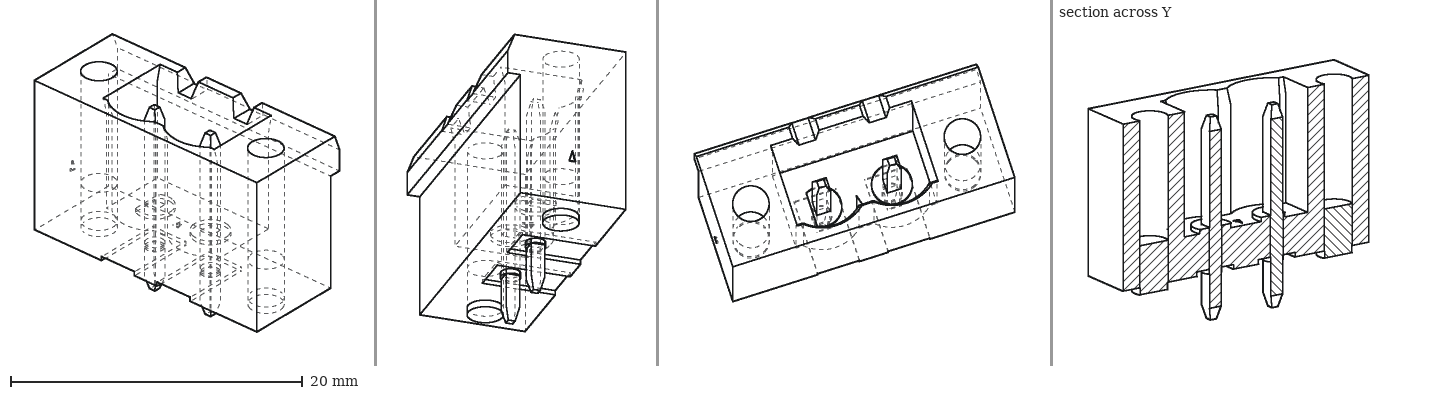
import cadquery as cq
import math

length = 20.32
body_depth = 7.68
height = 12.0

rail_back_y = 8.6
rail_height = 3.0
rail_slope_depth = 0.49
rail_slope_height = 1.3

pitch = 5.08
axis_y = 3.82
pin_xs = [-pitch / 2, pitch / 2]
peg_xs = [-1.5 * pitch, 1.5 * pitch]

pin_width = 1.0
pin_tip_width = pin_width / 2
pin_taper_length = 1.0
pin_bottom_z = -3.4
pin_top_z = 11.18

peg_diameter = 2.5
peg_bottom_z = -0.5

floor_z = 3.05
peg_top_z = floor_z
cavity_width = 10.14
cavity_front_y = 1.67
cavity_back_y = 6.97
lobe_radius = 2.95
flare = 0.3
flare_height = 1.22
flare_z = height - flare_height

notch_floor_width = 1.18
notch_top_width = 1.9
notch_depth = 1.36

collar_diameter = 2.8
collar_height = 0.3
collar_flat_offset = 0.7

slot_width = 3.0
slot_height = 0.33
slot_back_y = axis_y + slot_width / 2
stub_diameter = 1.4

mark_width = 0.45
mark_length = 0.77
mark_depth = 0.1
mark_y = 3.88
floor_mark_base_y = 3.09
side_mark_base_z = 3.05


def cylinder(x, diameter, bottom_z, top_z):
    """Upright cylinder on the pin line."""
    disc = cq.Workplane("XY", origin=(x, axis_y, bottom_z)).circle(diameter / 2)
    return disc.extrude(top_z - bottom_z)


def block(width, front_y, back_y, bottom_z, top_z, x=0.0):
    """Box centred on x, between the given Y and Z limits."""
    box = cq.Workplane("XY").box(width, back_y - front_y, top_z - bottom_z, centered=(True, False, False))
    return box.translate((x, front_y, bottom_z))


def make_block_with_rail():
    """Main block with the overhanging rail, as one profile run along X."""
    profile = [
        (0, 0),
        (body_depth, 0),
        (body_depth, height - rail_height),
        (rail_back_y, height - rail_height),
        (rail_back_y, height - rail_slope_height),
        (rail_back_y - rail_slope_depth, height),
        (0, height),
    ]
    return cq.Workplane("YZ").polyline(profile).close().extrude(length / 2, both=True)


def make_cavity():
    """Rectangular cavity with two round lobes at the front and a flared mouth."""
    profile = [
        (cavity_front_y, floor_z),
        (cavity_back_y, floor_z),
        (cavity_back_y, flare_z),
        (cavity_back_y + flare, height),
        (cavity_front_y - flare, height),
        (cavity_front_y, flare_z),
    ]
    cavity = cq.Workplane("YZ").polyline(profile).close().extrude(cavity_width / 2, both=True)
    lobe_limit = block(cavity_width, 0, axis_y, floor_z, height)
    for x in pin_xs:
        lobe = cylinder(x, 2 * lobe_radius, floor_z, flare_z)
        mouth = (
            cq.Workplane("XY", origin=(x, axis_y, flare_z))
            .circle(lobe_radius)
            .workplane(offset=flare_height)
            .circle(lobe_radius + flare)
            .loft(ruled=True)
        )
        cavity = cavity.union(lobe.union(mouth).intersect(lobe_limit))
    return cavity


def make_notch(x):
    """Trapezoidal notch from the cavity through the back wall."""
    profile = [
        (x - notch_floor_width / 2, height - notch_depth),
        (x + notch_floor_width / 2, height - notch_depth),
        (x + notch_top_width / 2, height),
        (x - notch_top_width / 2, height),
    ]
    notch = cq.Workplane("XZ", origin=(0, rail_back_y, 0)).polyline(profile).close()
    return notch.extrude(rail_back_y - axis_y)


def make_slot(x):
    """Underside slot, open at the front, that leaves a round stub around the pin."""
    slot = block(slot_width, 0, slot_back_y, 0, slot_height, x)
    return slot.cut(cylinder(x, stub_diameter, 0, slot_height))


def make_collars():
    """Round collars around the pins; a flat on the first marks pin one."""
    first_x, second_x = pin_xs
    top_z = floor_z + collar_height
    first = cylinder(first_x, collar_diameter, floor_z, top_z)
    kept_centre_x = first_x - collar_flat_offset + collar_diameter / 2
    front_y = axis_y - collar_diameter / 2
    kept = block(collar_diameter, front_y, front_y + collar_diameter, floor_z, top_z, kept_centre_x)
    return [first.intersect(kept), cylinder(second_x, collar_diameter, floor_z, top_z)]


def make_mark(plane, centre, base):
    """Triangular recess, cut to mark_depth on both sides of its plane."""
    corners = [
        (centre - mark_width / 2, base),
        (centre + mark_width / 2, base),
        (centre, base + mark_length),
    ]
    return cq.Workplane(plane).polyline(corners).close().extrude(mark_depth, both=True)


def make_pin(x):
    """Square pin with a tapered tip at each end."""
    shank_bottom_z = pin_bottom_z + pin_taper_length
    shank_top_z = pin_top_z - pin_taper_length
    shank = cq.Workplane("XY", origin=(x, axis_y, shank_bottom_z)).rect(pin_width, pin_width)
    shank = shank.extrude(shank_top_z - shank_bottom_z)
    taper_angle = math.degrees(math.atan((pin_width - pin_tip_width) / 2 / pin_taper_length))
    for face in (">Z", "<Z"):
        tip = shank.faces(face).workplane(centerOption="CenterOfMass").rect(pin_width, pin_width)
        shank = shank.union(tip.extrude(pin_taper_length, taper=taper_angle, combine=False))
    return shank


def make_peg(x):
    """Round peg that fills the lower end of a flange bore and stands below the housing."""
    return cylinder(x, peg_diameter, peg_bottom_z, peg_top_z)


def make_housing(inserts):
    """Housing with its cavity, bores and marks; the pins fit exactly in their holes."""
    housing = make_block_with_rail().cut(make_cavity())
    for collar in make_collars():
        housing = housing.union(collar)
    for x in pin_xs:
        housing = housing.cut(make_notch(x)).cut(make_slot(x))
    for x in peg_xs:
        housing = housing.cut(cylinder(x, peg_diameter, 0, height))
    housing = housing.cut(make_mark("XY", 0, floor_mark_base_y).translate((0, 0, floor_z)))
    housing = housing.cut(make_mark("YZ", mark_y, side_mark_base_z).translate((-length / 2, 0, 0)))
    for pin in inserts:
        housing = housing.cut(pin)
    return housing


pins = [make_pin(x) for x in pin_xs]
pegs = [make_peg(x) for x in peg_xs]
housing = make_housing(pins)

result = cq.Compound.makeCompound([housing.val(), *[body.val() for body in pins + pegs]])